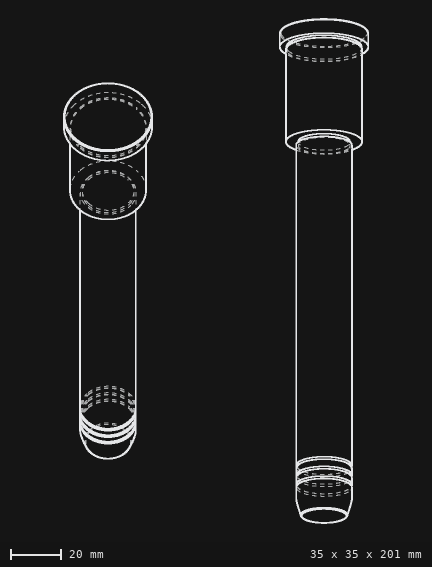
import cadquery as cq

total_length = 201
head_radius = 17.5
head_height = 6
head_chamfer = 0.5
shoulder_radius = 15.0
shoulder_bottom = 155.5
pin_radius = 11.0

head_relief_height = 1.0
head_relief_radius = 14.9
neck_height = 1.5
neck_radius = 10.3

groove_count = 3
lowest_groove_center = 12.5
groove_pitch = 4.0
groove_width = 1.0
groove_depth = 0.5

lead_in_height = 7.0
lead_in_mid_radius = 10.3
tip_radius = 9.2
tip_chamfer = 0.5


def turned_body():
    """Revolve the half profile of the head, shoulder, pin and lead-in."""
    head_bottom = total_length - head_height
    shoulder_top = head_bottom - head_relief_height
    pin_top = shoulder_bottom - neck_height
    profile = (
        cq.Workplane("XZ")
        .moveTo(0, 0)
        .lineTo(tip_radius - tip_chamfer, 0)
        .lineTo(tip_radius, tip_chamfer)
        .threePointArc((lead_in_mid_radius, lead_in_height / 2), (pin_radius, lead_in_height))
        .lineTo(pin_radius, pin_top)
        .lineTo(neck_radius, pin_top)
        .lineTo(neck_radius, shoulder_bottom)
        .lineTo(shoulder_radius, shoulder_bottom)
        .lineTo(shoulder_radius, shoulder_top)
        .lineTo(head_relief_radius, shoulder_top)
        .lineTo(head_relief_radius, head_bottom)
        .lineTo(head_radius, head_bottom)
        .lineTo(head_radius, total_length - head_chamfer)
        .lineTo(head_radius - head_chamfer, total_length)
        .lineTo(0, total_length)
        .close()
    )
    return profile.revolve(360, (0, 0, 0), (0, 1, 0))


def ring_groove(center_height):
    """Ring of material, round in section, removed to leave one groove around the pin."""
    half_width = groove_width / 2
    return (
        cq.Workplane("XZ")
        .moveTo(pin_radius, center_height - half_width)
        .threePointArc((pin_radius - groove_depth, center_height), (pin_radius, center_height + half_width))
        .close()
        .revolve(360, (0, 0, 0), (0, 1, 0))
    )


result = turned_body()
for index in range(groove_count):
    result = result.cut(ring_groove(lowest_groove_center + index * groove_pitch))